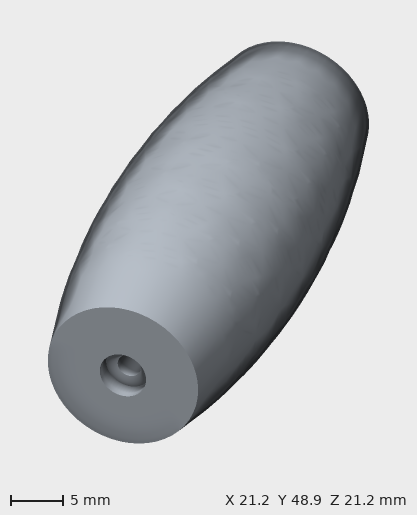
import cadquery as cq

length = 48.9
middle_diameter = 21.15
end_diameter = 15.25

bore_diameter = 2.35
counterbore_diameter = 4.7
counterbore_depth = 1.8

half_length = length / 2
middle_radius = middle_diameter / 2
end_radius = end_diameter / 2


def make_barrel():
    """Revolve a half profile whose outer side is one bulging arc."""
    return (
        cq.Workplane("XY")
        .moveTo(0, -half_length)
        .lineTo(end_radius, -half_length)
        .threePointArc((middle_radius, 0), (end_radius, half_length))
        .lineTo(0, half_length)
        .close()
        .revolve(360, (0, 0, 0), (0, 1, 0))
    )


def cut_stepped_bore(body):
    """Cut the through bore and its counterbore from the -Y end face."""
    return body.faces("<Y").workplane(centerOption="CenterOfBoundBox").cboreHole(
        bore_diameter, counterbore_diameter, counterbore_depth
    )


result = cut_stepped_bore(make_barrel())